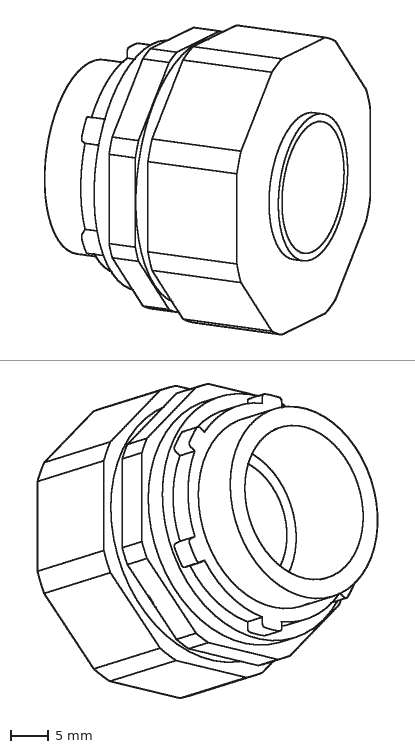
import cadquery as cq
import math


lock_ring_start = 6.5
washer_start = 9.55
flange_start = 12.45
ferrule_start = 13.65
collar_start = 16.45
nut_start = 18.95
nut_end = 32.5
ferrule_end = 33.9

pipe_diameter = 26.45
pipe_bore = 21.2
washer_diameter = 34.0
collar_diameter = 36.0
ferrule_diameter = 20.0
ferrule_bore = 17.9

nut_width = 38.5
nut_corner_diameter = 40.5
flange_width = 36.25
flange_corner_diameter = 38.35

lock_ring_root_diameter = 30.2
lug_tip_diameter = 32.85
lug_width = 3.45
lug_edge_radius = 0.5
lug_count = 6


def cylinder(diameter, start, end):
    """Solid cylinder on the X axis between two positions."""
    return cq.Workplane("YZ", origin=(start, 0, 0)).circle(diameter / 2).extrude(end - start)


def ring(outer_diameter, inner_diameter, start, end):
    """Plain ring on the X axis."""
    return cylinder(outer_diameter, start, end).cut(cylinder(inner_diameter, start, end))


def turned_octagon(width, corner_diameter, start, end):
    """Octagonal prism with flats facing Y and Z, its corners trimmed to a cylinder."""
    sides = 8
    point_diameter = width / math.cos(math.pi / sides)
    prism = (
        cq.Workplane("YZ", origin=(start, 0, 0))
        .transformed(rotate=(0, 0, 180 / sides))
        .polygon(sides, point_diameter)
        .extrude(end - start)
    )
    return prism.intersect(cylinder(corner_diameter, start, end))


def make_connector_body():
    """Bored pipe with an octagonal flange; the pipe runs on through the collar to the nut."""
    pipe = cylinder(pipe_diameter, 0, nut_start)
    flange = turned_octagon(flange_width, flange_corner_diameter, flange_start, collar_start)
    return pipe.union(flange).cut(cylinder(pipe_bore, 0, nut_start))


def make_lug():
    """Upward lug with parallel sides and a tip on the lug circle, its two outer edges rounded."""
    half_width = lug_width / 2
    tip_radius = lug_tip_diameter / 2
    shoulder_height = math.sqrt(tip_radius**2 - half_width**2)
    return (
        cq.Workplane("YZ", origin=(lock_ring_start, 0, 0))
        .moveTo(-half_width, 0)
        .lineTo(-half_width, shoulder_height)
        .threePointArc((0, tip_radius), (half_width, shoulder_height))
        .lineTo(half_width, 0)
        .close()
        .extrude(washer_start - lock_ring_start)
        .edges("|X and (not <Z)")
        .fillet(lug_edge_radius)
    )


def make_lock_ring():
    """Ring on the pipe with evenly spaced lugs, the first one pointing up."""
    lugged_disc = cylinder(lock_ring_root_diameter, lock_ring_start, washer_start)
    lug = make_lug()
    for index in range(lug_count):
        lugged_disc = lugged_disc.union(lug.rotate((0, 0, 0), (1, 0, 0), index * 360 / lug_count))
    return lugged_disc.cut(cylinder(pipe_diameter, lock_ring_start, washer_start))


def make_nut():
    """Large octagonal nut with a plain bore for the ferrule."""
    blank = turned_octagon(nut_width, nut_corner_diameter, nut_start, nut_end)
    return blank.cut(cylinder(ferrule_diameter, nut_start, nut_end))


def make_ferrule():
    """Tube through the nut, with a wider head that fills the end of the pipe bore."""
    head = cylinder(pipe_bore, ferrule_start, nut_start)
    tube = cylinder(ferrule_diameter, nut_start, ferrule_end)
    return head.union(tube).cut(cylinder(ferrule_bore, ferrule_start, ferrule_end))


connector_body = make_connector_body()
lock_ring = make_lock_ring()
washer = ring(washer_diameter, pipe_diameter, washer_start, flange_start)
collar = ring(collar_diameter, pipe_diameter, collar_start, nut_start)
nut = make_nut()
ferrule = make_ferrule()

result = cq.Compound.makeCompound([
    connector_body.val(),
    lock_ring.val(),
    washer.val(),
    collar.val(),
    nut.val(),
    ferrule.val(),
])